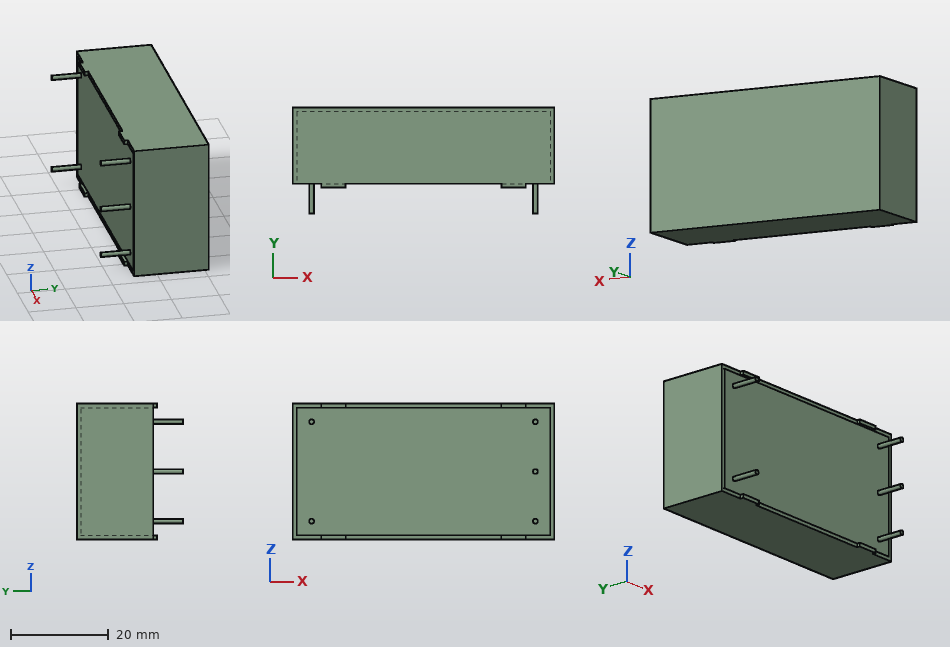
import cadquery as cq

case_length = 53.5
case_depth = 15.65
case_height = 27.8
wall = 0.85

foot_length = 5.0
foot_height = 0.75
foot_spacing = 36.8

grid = 2.54
pin_diameter = 1.0
pin_reach = 6.1
pin_x = 9 * grid
pin_z = 4 * grid
pin_places = [(-pin_x, -pin_z), (-pin_x, pin_z), (pin_x, -pin_z), (pin_x, 0), (pin_x, pin_z)]

cavity_length = case_length - 2 * wall
cavity_height = case_height - 2 * wall
cavity_depth = case_depth - wall


def front_box(length, depth, height):
    """Box centred in X and Z, running from the rim plane (Y = 0) towards +Y."""
    return cq.Workplane("XY").box(length, depth, height, centered=(True, False, True))


def make_case():
    case = front_box(case_length, case_depth, case_height)
    case = case.cut(front_box(cavity_length, cavity_depth, cavity_height))
    foot = front_box(foot_length, foot_height, wall)
    for side_x in (-1, 1):
        for side_z in (-1, 1):
            foot_x = side_x * foot_spacing / 2
            foot_z = side_z * (case_height - wall) / 2
            case = case.union(foot.translate((foot_x, -foot_height, foot_z)))
    return case


def make_filling():
    """Block that fills the case flush with its rim."""
    return front_box(cavity_length, cavity_depth, cavity_height)


def make_pin(x, z):
    """Round pin standing on the front face of the filling and pointing towards -Y."""
    pin = cq.Workplane("XZ").circle(pin_diameter / 2).extrude(pin_reach)
    return pin.translate((x, 0, z))


case = make_case()
filling = make_filling()
pins = [make_pin(x, z) for x, z in pin_places]

result = cq.Compound.makeCompound([case.val(), filling.val(), *[pin.val() for pin in pins]])